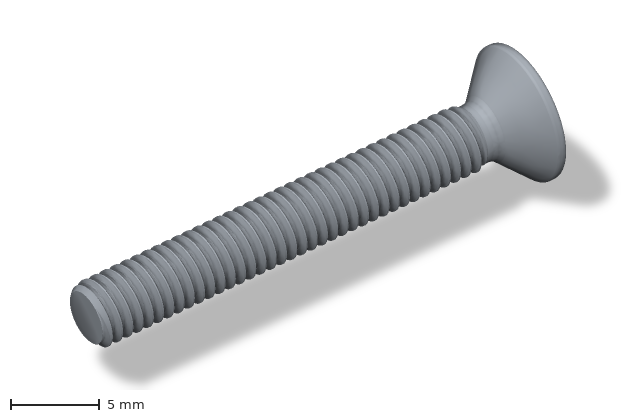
import cadquery as cq
import math

length = 30.0
head_radius = 4.2
head_edge_height = 0.57
head_edge_round = 0.2
neck_radius = 1.77
neck_fillet = 0.9
neck_end = 3.75
neck_z = length - neck_end
cone_height = head_radius - neck_radius

thread_radius = 2.0
pitch = 2.1 / 3
crest_distance = 4.4
crest_flat = pitch / 8
root_flat = pitch / 4
flank_angle = math.radians(30)
thread_depth = (pitch - crest_flat - root_flat) / (2 * math.tan(flank_angle))
root_radius = thread_radius - thread_depth
flank_points = 12
section_count = 38

tip_radius = 1.62
tip_height = thread_radius - tip_radius
run_in_height = 0.42
trim_length = 2 * neck_z / section_count


def polar(radius, angle):
    return (radius * math.cos(angle), radius * math.sin(angle))


def make_head():
    """Countersunk head and plain neck."""
    rim_z = length - head_edge_height
    cone_z = rim_z - cone_height
    head = (
        cq.Workplane("XZ")
        .moveTo(0, neck_z)
        .lineTo(neck_radius, neck_z)
        .lineTo(neck_radius, cone_z)
        .lineTo(head_radius, rim_z)
        .lineTo(head_radius, length)
        .lineTo(0, length)
        .close()
        .revolve(360, (0, 0, 0), (0, 1, 0))
    )
    for ring_z, radius in ((length, head_edge_round), (rim_z, head_edge_round), (cone_z, neck_fillet)):
        ring = cq.selectors.NearestToPointSelector((0, 0, ring_z))
        head = head.edges("%CIRCLE").edges(ring).fillet(radius)
    return head


def make_thread(bottom_z, top_z):
    """Threaded shank: the cross-section of a single-start thread, twisted along the axis."""
    crest_half = math.pi * crest_flat / pitch
    root_start = math.pi * (1 - root_flat / pitch)

    def flank_point(share):
        """Point on the rising spiral flank, from the crest (0) to the root (1)."""
        angle = crest_half + share * (root_start - crest_half)
        return polar(thread_radius - share * thread_depth, angle)

    flank = [flank_point(i / flank_points) for i in range(flank_points + 1)]
    mirrored_flank = [(x, -y) for x, y in reversed(flank)]
    section = (
        cq.Workplane("XY")
        .moveTo(*mirrored_flank[-1])
        .threePointArc((thread_radius, 0), flank[0])
        .spline(flank[1:], includeCurrent=True)
        .threePointArc((-root_radius, 0), mirrored_flank[0])
        .spline(mirrored_flank[1:], includeCurrent=True)
        .close()
    )
    thread = section.twistExtrude(top_z - bottom_z, 360 * (top_z - bottom_z) / pitch)
    turns_to_crest = (length - crest_distance - bottom_z) / pitch
    thread = thread.rotate((0, 0, 0), (0, 0, 1), -360 * turns_to_crest)
    return thread.translate((0, 0, bottom_z))


def make_trim_cone(end_z, end_radius, full_z):
    """Cone from end_radius at end_z through the thread radius at full_z, going on to the axis."""
    growth = (thread_radius - end_radius) / abs(full_z - end_z)
    trim_z = full_z + math.copysign(trim_length, full_z - end_z)
    return (
        cq.Workplane("XZ")
        .moveTo(0, end_z)
        .lineTo(end_radius, end_z)
        .lineTo(end_radius + growth * abs(trim_z - end_z), trim_z)
        .lineTo(0, trim_z)
        .close()
        .revolve(360, (0, 0, 0), (0, 1, 0))
    )


joints = [neck_z * i / section_count for i in range(section_count + 1)]
sections = [make_thread(bottom_z, top_z) for bottom_z, top_z in zip(joints, joints[1:])]
tip_cone = make_trim_cone(0, tip_radius, tip_height)
run_in_cone = make_trim_cone(neck_z, neck_radius, neck_z - run_in_height)
tip_end = sections[0].intersect(tip_cone, clean=False)
run_in = sections[-1].intersect(run_in_cone, clean=False)
head_end = make_head().union(run_in, clean=False)

outer_faces = tip_end.faces("not >Z").vals() + head_end.faces("not <Z").vals()
for section in sections[1:-1]:
    outer_faces += section.faces("not |Z").vals()
screw = cq.Workplane(obj=cq.Solid.makeSolid(cq.Shell.makeShell(outer_faces)))
result = screw.rotate((0, 0, 0), (1, 0, 0), -90)